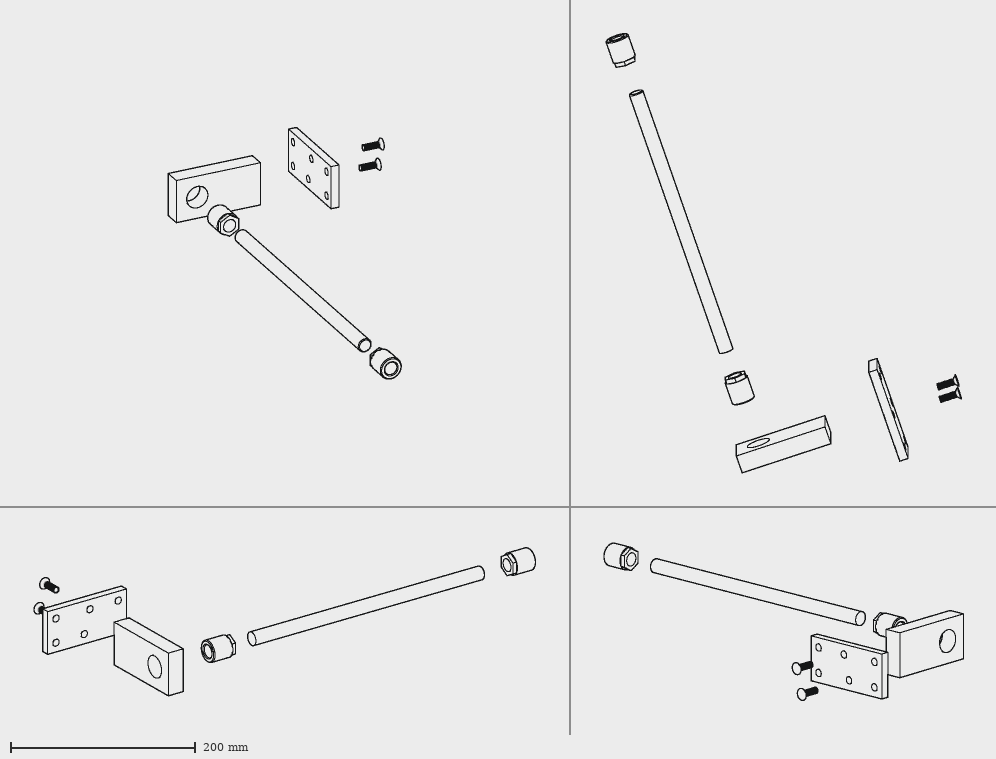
import cadquery as cq


total_length = 540.5
total_depth = 251.0
height = 51.0

plate_length = 105.0
plate_thickness = 10.0
plate_front = 140.5
hole_diameter = 8.0
corner_hole_spacing_x = 82.5
corner_hole_spacing_z = 28.5

block_thickness = 20.0
block_depth = 101.5
block_front = -height / 2

rod_diameter = 15.5
rod_length = 305.0
rod_start = 171.5
rod_chamfer = 1.0

bushing_diameter = 25.5
bushing_length = 30.0
hex_sides = 6
hex_length = 5.0
bore_diameter = 14.5
end_chamfer = 1.0
first_bushing_start = 112.5

screw_diameter = 7.0
screw_length = 22.0
head_diameter = 13.5
head_height = 3.0
thread_pitch = 1.4
thread_depth = 0.8
screw_spacing_x = 7.5
screw_spacing_z = 27.5

plate_center = plate_length / 2
screw_back = block_front + total_depth
screw_places = [
    (plate_center + side * screw_spacing_x / 2, side * screw_spacing_z / 2)
    for side in (-1, 1)
]


def make_plate():
    """Flat plate with four corner holes and two holes for the screws."""
    plate = cq.Workplane("XY").box(plate_length, plate_thickness, height, centered=(False, False, True))
    corners = [
        (plate_center + i * corner_hole_spacing_x / 2, k * corner_hole_spacing_z / 2)
        for i in (-1, 1)
        for k in (-1, 1)
    ]
    drills = (
        cq.Workplane("XZ")
        .pushPoints(corners + screw_places)
        .circle(hole_diameter / 2)
        .extrude(-plate_thickness)
    )
    return plate.cut(drills).translate((0, plate_front, 0))


def make_block():
    """Rectangular arm with a bushing hole through its thickness."""
    block_start = plate_center - block_thickness / 2
    block = cq.Workplane("XY").box(block_thickness, block_depth, height, centered=(False, False, True))
    block = block.translate((block_start, block_front, 0))
    bore = cq.Workplane("YZ", origin=(block_start, 0, 0)).circle(bushing_diameter / 2).extrude(block_thickness)
    return block.cut(bore)


def make_rod():
    """Round rod with a chamfer on its far end."""
    rod = cq.Workplane("YZ", origin=(rod_start, 0, 0)).circle(rod_diameter / 2).extrude(rod_length)
    return rod.faces(">X").chamfer(rod_chamfer)


def make_bushing():
    """Bushing with its chamfered round end at X = 0 and its hexagonal end toward +X."""
    barrel_length = bushing_length - hex_length
    barrel = cq.Workplane("YZ").circle(bushing_diameter / 2).extrude(barrel_length)
    hexagon = (
        cq.Workplane("YZ", origin=(barrel_length, 0, 0))
        .transformed(rotate=(0, 0, 90))
        .polygon(hex_sides, bushing_diameter)
        .extrude(hex_length)
    )
    bore = cq.Workplane("YZ").circle(bore_diameter / 2).extrude(bushing_length)
    bushing = barrel.union(hexagon).cut(bore)
    return bushing.faces("<X").edges().chamfer(end_chamfer)


def make_screw(x, z):
    """Countersunk screw pointing toward -Y, with ring grooves as its thread."""
    crest = screw_diameter / 2
    root = crest - thread_depth
    thread_count = int((screw_length - head_height) / thread_pitch)
    profile = [(0, 0), (head_diameter / 2, 0), (crest, -head_height)]
    for turn in range(thread_count):
        start = -head_height - turn * thread_pitch
        profile.append((root, start - thread_pitch / 2))
        profile.append((crest, start - thread_pitch))
    profile += [(crest, -screw_length), (0, -screw_length)]
    screw = cq.Workplane("XY").polyline(profile).close().revolve(360, (0, 0), (0, 1))
    return screw.translate((x, screw_back, z))


plate = make_plate()
block = make_block()
rod = make_rod()
bushings = [
    make_bushing().translate((first_bushing_start, 0, 0)),
    make_bushing().rotate((0, 0, 0), (0, 1, 0), 180).translate((total_length, 0, 0)),
]
screws = [make_screw(x, z) for x, z in screw_places]

result = cq.Compound.makeCompound(
    [plate.val(), block.val(), rod.val()]
    + [bushing.val() for bushing in bushings]
    + [screw.val() for screw in screws]
)